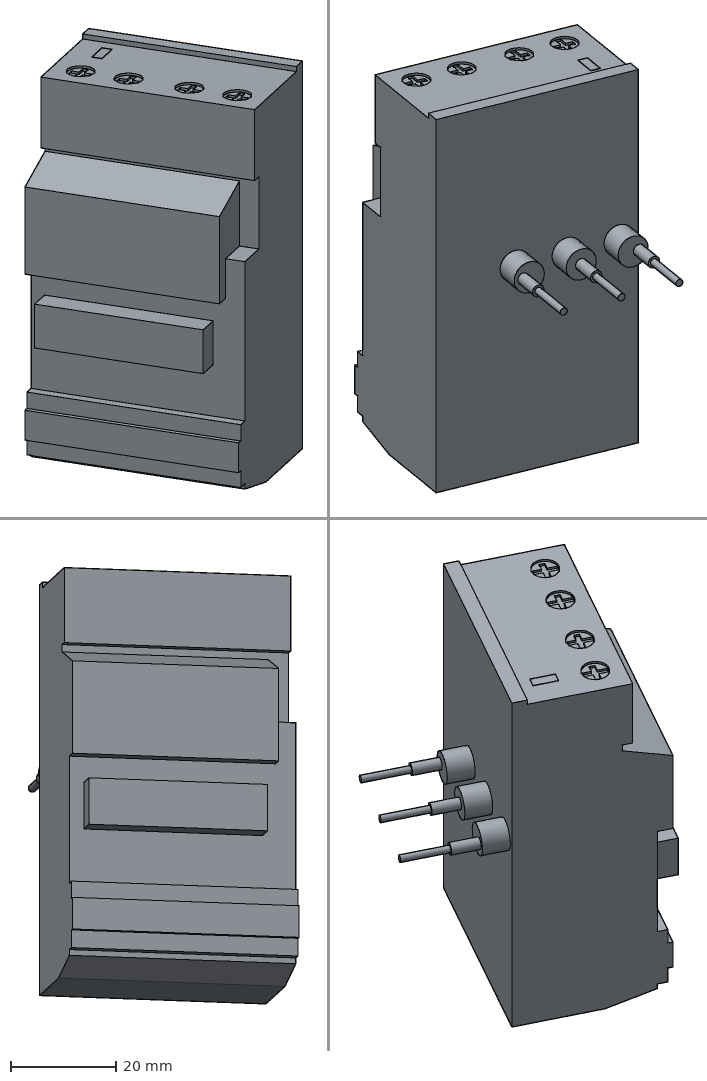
import cadquery as cq


width = 44.0
height = 79.5
lip_depth = 3.1
lip_height = 1.0
shelf_z = height - lip_height
head_depth = 24.1
head_bottom_z = 63.9
neck_depth = 22.0
slope_top_z = 62.5
cover_depth = 32.1
cover_top_z = 58.9
cover_bottom_z = 41.0
front_depth = 29.0
rib_step_depth = 31.1
rib_step_top_z = 16.45
rib_top_z = 13.1
rib_bottom_z = 7.0
rib_step_bottom_z = 3.6
chamfer_top_z = 2.5
chamfer_start_depth = 18.5

notch_width = 4.0
notch_ledge_z = 49.1

button_x = 2.8
button_width = 34.7
button_bottom_z = 27.0
button_height = 9.0
button_depth = 34.0

pin_z = 44.2
middle_pin_x = 15.5
collar_pitch = 11.3
pin_pitch = 12.6
collar_diameter = 6.5
collar_end_y = 5.6
sleeve_diameter = 2.5
sleeve_end_y = 11.45
tip_diameter = 1.5
tip_end_y = 21.5

screw_pair_x = (5.9, 28.2)
screw_pair_pitch = 9.85
screw_y = -18.45
screw_diameter = 5.5
screw_recess = 0.5
cross_arm_width = 1.1
cross_length_x = 4.1
cross_length_y = 5.0
cross_arm_offset = 0.15
cross_depth = 0.5

window_x = 6.1
window_y = -8.35
window_width = 2.1
window_length = 5.1
window_recess = 0.1


def box_between(x0, x1, y0, y1, z0, z1):
    """Box spanning the given limits along each axis."""
    return cq.Workplane("XY").box(x1 - x0, y1 - y0, z1 - z0, centered=False).translate((x0, y0, z0))


def housing():
    """Side profile swept across the full width."""
    profile = [
        (0, 0),
        (0, height),
        (-lip_depth, height),
        (-lip_depth, shelf_z),
        (-head_depth, shelf_z),
        (-head_depth, head_bottom_z),
        (-neck_depth, head_bottom_z),
        (-neck_depth, slope_top_z),
        (-cover_depth, cover_top_z),
        (-cover_depth, cover_bottom_z),
        (-front_depth, cover_bottom_z),
        (-front_depth, rib_step_top_z),
        (-rib_step_depth, rib_step_top_z),
        (-rib_step_depth, rib_top_z),
        (-cover_depth, rib_top_z),
        (-cover_depth, rib_bottom_z),
        (-rib_step_depth, rib_bottom_z),
        (-rib_step_depth, rib_step_bottom_z),
        (-front_depth, rib_step_bottom_z),
        (-front_depth, chamfer_top_z),
        (-chamfer_start_depth, 0),
    ]
    return cq.Workplane("YZ").polyline(profile).close().extrude(width)


def cover_notch():
    """Space beside the cover: down to the neck above the ledge, to the front face below it."""
    notch_x = width - notch_width
    upper = box_between(notch_x, width, -cover_depth, -neck_depth, notch_ledge_z, head_bottom_z)
    lower = box_between(notch_x, width, -cover_depth, -front_depth, cover_bottom_z, notch_ledge_z)
    return upper.union(lower)


def button():
    """Flat bar standing on the front face."""
    return box_between(
        button_x, button_x + button_width,
        -button_depth, -front_depth,
        button_bottom_z, button_bottom_z + button_height,
    )


def back_cylinder(x, diameter, end_y):
    """Cylinder from the back face out to end_y."""
    return cq.Workplane("XZ").center(x, pin_z).circle(diameter / 2).extrude(-end_y)


def connector(index):
    """Stepped pin; the collars are spaced closer together than the pins they carry."""
    collar_x = middle_pin_x + index * collar_pitch
    pin_x = middle_pin_x + index * pin_pitch
    collar = back_cylinder(collar_x, collar_diameter, collar_end_y)
    sleeve = back_cylinder(pin_x, sleeve_diameter, sleeve_end_y)
    tip = back_cylinder(pin_x, tip_diameter, tip_end_y)
    return collar.union(sleeve).union(tip)


def screw_pocket(x):
    """Round pocket with a deeper cross slot cut into its floor."""
    floor = cq.Workplane("XY", origin=(x, screw_y, shelf_z - screw_recess))
    pocket = floor.circle(screw_diameter / 2).extrude(screw_recess)
    cross_slot = floor.rect(cross_length_x, cross_arm_width).extrude(-cross_depth)
    long_arm = floor.center(0, -cross_arm_offset).rect(cross_arm_width, cross_length_y).extrude(-cross_depth)
    return pocket.union(cross_slot).union(long_arm)


def window():
    """Shallow rectangle cut from the top face."""
    floor = cq.Workplane("XY", origin=(window_x, window_y, shelf_z - window_recess))
    return floor.rect(window_width, window_length).extrude(window_recess)


result = housing().cut(cover_notch()).union(button()).cut(window())

for index in (-1, 0, 1):
    result = result.union(connector(index))

for first_x in screw_pair_x:
    for x in (first_x, first_x + screw_pair_pitch):
        result = result.cut(screw_pocket(x))